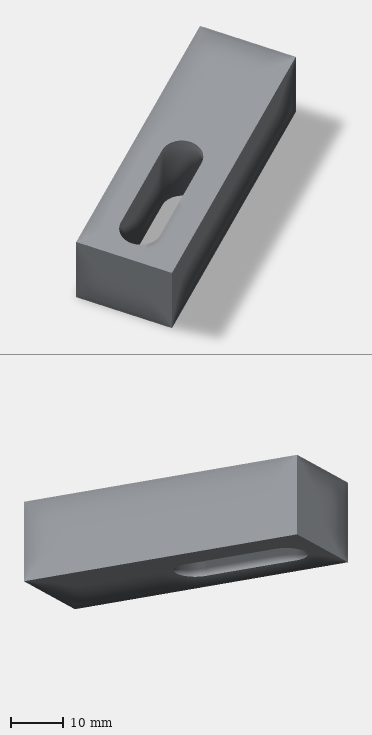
import cadquery as cq

length = 60.0
width = 20.0
height = 16.0

slot_width = 8.2
slot_length = 28.2
slot_end_margin = 3.9
slot_center_y = -length / 2 + slot_end_margin + slot_length / 2

block = cq.Workplane("XY").box(width, length, height)

slot = (
    cq.Workplane("XY")
    .center(0, slot_center_y)
    .slot2D(slot_length, slot_width, angle=90)
    .extrude(height, both=True)
)

result = block.cut(slot)